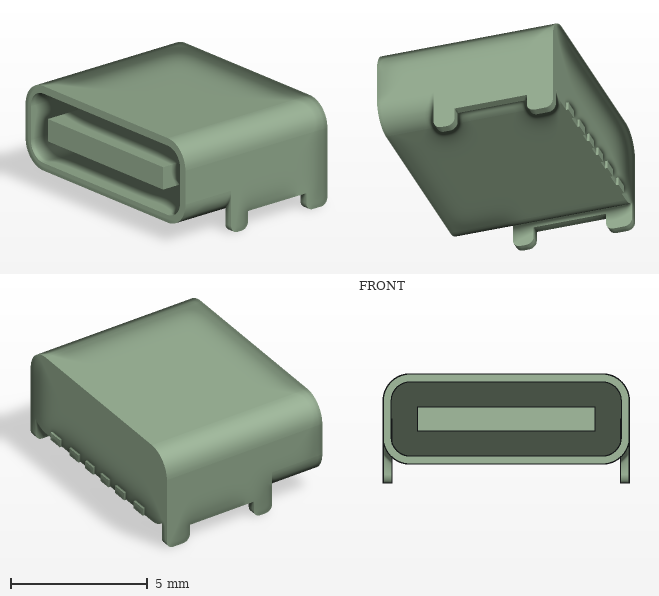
import cadquery as cq

shell_width = 9.0
shell_depth = 6.81
shell_height = 3.3
corner_radius = 0.99
wall = 0.3
back_wall = wall

contact_sizes = [(0.5, 0.52), (1.51, 0.59), (2.745, 0.61)]
contact_length = 0.09
contact_height = 0.315

tongue_width = 6.5
tongue_thickness = 0.87

plate_thickness = 0.33
plate_length = 4.62
plate_top = shell_height / 2
leg_drop = 0.69
rear_leg_width = 1.01
front_leg_width = 0.81
leg_corner_radius = 0.3

cavity_depth = shell_depth - back_wall
plate_front = shell_depth - plate_length


def rounded_bar(width, height, length, radius):
    """Bar along Y with rounded edges, starting at y = 0 at the shell's mid-height."""
    return (
        cq.Workplane("XY")
        .box(width, length, height, centered=(True, False, True))
        .edges("|Y")
        .fillet(radius)
        .translate((0, 0, shell_height / 2))
    )


def make_contact(x_centre, width):
    """Contact starting inside the back wall and standing out of its rear face."""
    length = back_wall + contact_length
    return (
        cq.Workplane("XY")
        .box(width, length, contact_height, centered=(True, False, False))
        .translate((x_centre, cavity_depth, 0))
    )


def make_plate(side):
    """Side plate with two downward legs; side is -1 for left and +1 for right."""
    plate_height = plate_top + leg_drop
    gap_length = plate_length - front_leg_width - rear_leg_width
    x_centre = side * (shell_width - plate_thickness) / 2
    plate = (
        cq.Workplane("XY")
        .box(plate_thickness, plate_length, plate_height, centered=(True, False, False))
        .translate((x_centre, plate_front, -leg_drop))
    )
    gap = (
        cq.Workplane("XY")
        .box(plate_thickness, gap_length, leg_drop, centered=(True, False, False))
        .translate((x_centre, plate_front + front_leg_width, -leg_drop))
    )
    return plate.cut(gap).faces("<Z").edges("|X").fillet(leg_corner_radius)


def make_shell(plates):
    """Rounded shell, closed at the back, with contacts and recesses for the plates."""
    shell = rounded_bar(shell_width, shell_height, shell_depth, corner_radius)
    cavity = rounded_bar(
        shell_width - 2 * wall, shell_height - 2 * wall, cavity_depth, corner_radius - wall
    )
    shell = shell.cut(cavity)
    for offset, width in contact_sizes:
        for side in (-1, 1):
            shell = shell.union(make_contact(side * offset, width))
    for plate in plates:
        shell = shell.cut(plate)
    return shell


def make_tongue():
    """Flat tongue reaching from the back wall to the plane of the opening."""
    return (
        cq.Workplane("XY")
        .box(tongue_width, cavity_depth, tongue_thickness, centered=(True, False, True))
        .translate((0, 0, shell_height / 2))
    )


plates = [make_plate(side) for side in (-1, 1)]
shell = make_shell(plates)
tongue = make_tongue()

result = cq.Compound.makeCompound(
    [body.solids().val() for body in (shell, tongue, *plates)]
)